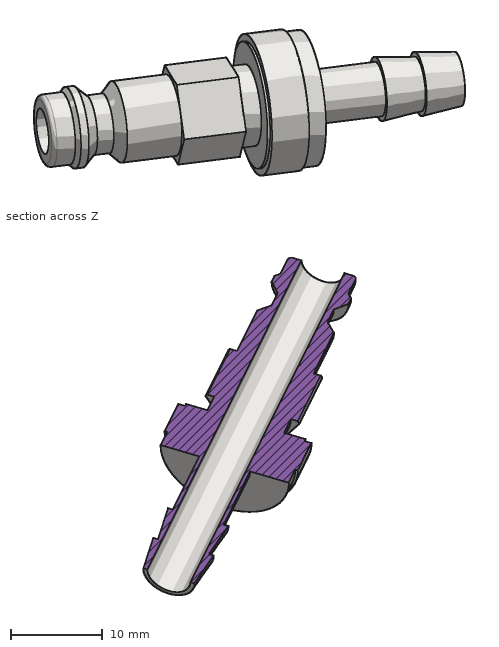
import cadquery as cq
import math

barb_length = 4.5
barb_count = 2
flange_back = 17.0
flange_step = 19.0
flange_front = 23.2
lip_front = 23.5
hex_back = 25.5
hex_front = 32.5
groove_start = 38.65
groove_floor_start = 39.85
groove_floor_end = 41.7
groove_end = 43.0
bead_end = 43.9
total_length = 47.0

bore_diameter = 5.0
hose_diameter = 6.0
barb_diameter = 7.1
flange_step_diameter = 15.0
flange_diameter = 15.6
lip_diameter = 14.0
plug_diameter = 9.0
groove_diameter = 6.6
nose_diameter = 8.0

nose_radius = 0.5

hex_across_flats = 9.5
hex_flat_shift = 0.15


def body_profile():
    """Half section in the XY plane: radius along X, length along -Y."""
    hose_radius = hose_diameter / 2
    barb_radius = barb_diameter / 2
    plug_radius = plug_diameter / 2
    groove_radius = groove_diameter / 2
    tip_radius = nose_diameter / 2
    bead_chamfer = plug_radius - tip_radius
    arc_inset = nose_radius * (1 - math.sqrt(0.5))

    outline = cq.Workplane("XY").moveTo(bore_diameter / 2, 0).lineTo(hose_radius, 0)
    for barb in range(1, barb_count + 1):
        barb_end = -barb * barb_length
        outline = outline.lineTo(barb_radius, barb_end).lineTo(hose_radius, barb_end)
    return (
        outline
        .lineTo(hose_radius, -flange_back)
        .lineTo(flange_step_diameter / 2, -flange_back)
        .lineTo(flange_step_diameter / 2, -flange_step)
        .lineTo(flange_diameter / 2, -flange_step)
        .lineTo(flange_diameter / 2, -flange_front)
        .lineTo(lip_diameter / 2, -flange_front)
        .lineTo(lip_diameter / 2, -lip_front)
        .lineTo(plug_radius, -lip_front)
        .lineTo(plug_radius, -groove_start)
        .lineTo(groove_radius, -groove_floor_start)
        .lineTo(groove_radius, -groove_floor_end)
        .lineTo(plug_radius, -groove_end)
        .lineTo(plug_radius, -bead_end)
        .lineTo(tip_radius, -bead_end - bead_chamfer)
        .lineTo(tip_radius, -total_length + nose_radius)
        .threePointArc(
            (tip_radius - arc_inset, -total_length + arc_inset),
            (tip_radius - nose_radius, -total_length),
        )
        .lineTo(bore_diameter / 2, -total_length)
        .close()
    )


def hex_collar():
    """Hexagonal wrench section with the bore through it."""
    far_flat = hex_across_flats / 2 + hex_flat_shift
    near_flat = hex_across_flats / 2 - hex_flat_shift
    flat_distances = [far_flat, near_flat] * 3
    flat_angle = math.radians(60)
    corners = []
    for index, distance in enumerate(flat_distances):
        next_distance = flat_distances[(index + 1) % len(flat_distances)]
        sideways = (next_distance - distance * math.cos(flat_angle)) / math.sin(flat_angle)
        angle = math.pi / 2 + index * flat_angle
        corner_x = distance * math.cos(angle) - sideways * math.sin(angle)
        corner_z = distance * math.sin(angle) + sideways * math.cos(angle)
        corners.append((corner_x, corner_z))
    return (
        cq.Workplane("XZ", origin=(0, -hex_back, 0))
        .polyline(corners)
        .close()
        .circle(bore_diameter / 2)
        .extrude(hex_front - hex_back)
    )


turned_body = body_profile().revolve(360, (0, 0, 0), (0, 1, 0))
result = turned_body.union(hex_collar()).translate((0, total_length / 2, 0))